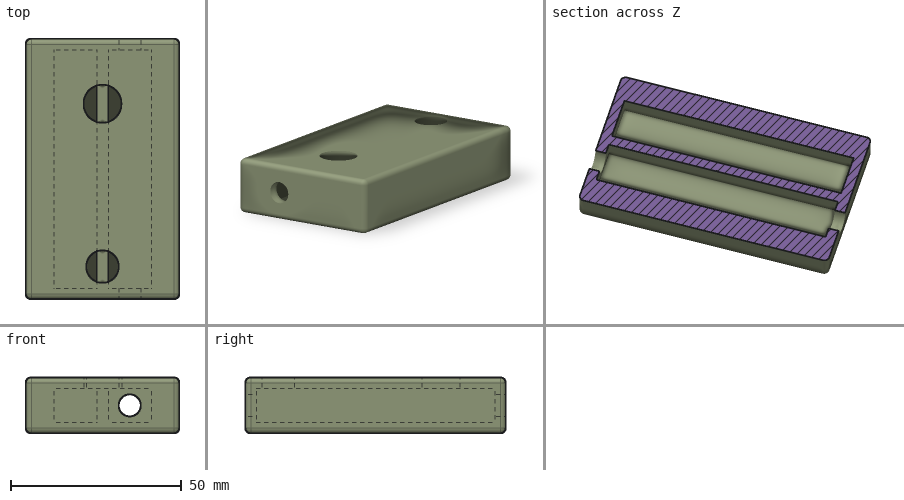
import cadquery as cq

width = 44.95
length = 76.2
height = 16.4
edge_radius = 1.6

rib_thickness = 3.3
lid_thickness = 3.2
end_wall = 3.2
chamber_width = 12.65
chamber_height = height - 2 * lid_thickness
chamber_length = length - 2 * end_wall
chamber_x = (rib_thickness + chamber_width) / 2

end_hole_diameter = 6.4
large_opening_diameter = 11.1
large_opening_y = 19.05
small_opening_diameter = 9.5
small_opening_y = -28.6


def outer_block():
    return cq.Workplane("XY").box(width, length, height).edges().fillet(edge_radius)


def chambers():
    """Both chambers, one on each side of the central rib."""
    return (
        cq.Workplane("XY")
        .pushPoints([(-chamber_x, 0), (chamber_x, 0)])
        .box(chamber_width, chamber_length, chamber_height)
    )


def end_hole():
    """Hole through both end walls, along the axis of the +X chamber."""
    return (
        cq.Workplane("XZ")
        .center(chamber_x, 0)
        .circle(end_hole_diameter / 2)
        .extrude(length / 2, both=True)
    )


def lid_opening(diameter, y):
    """Round opening through the lid, stopping at the top of the rib."""
    return (
        cq.Workplane("XY", origin=(0, y, height / 2))
        .circle(diameter / 2)
        .extrude(-lid_thickness)
    )


result = (
    outer_block()
    .cut(chambers())
    .cut(end_hole())
    .cut(lid_opening(large_opening_diameter, large_opening_y))
    .cut(lid_opening(small_opening_diameter, small_opening_y))
)